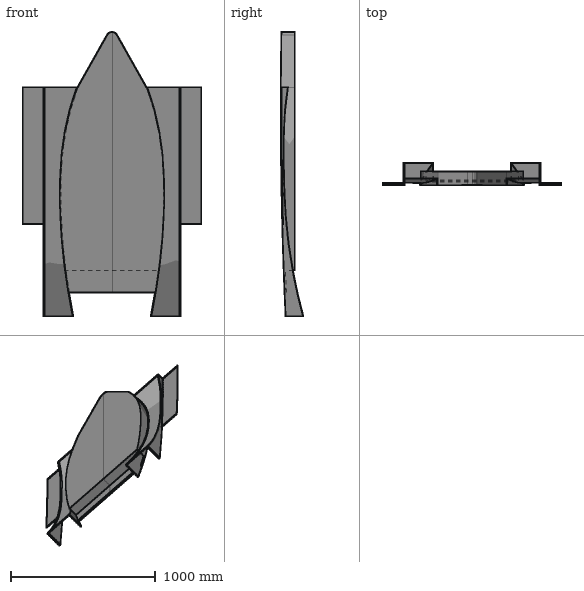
import math

import cadquery as cq

length = 1961.0
total_depth = 157.0
beam = 1232.0
half_beam = beam / 2
sheet = 5.1

deck_y = 98.0
bottom_thickness = 12.0
bottom_end_z = 163.0
transom_z = 318.0
shoulder_z = 1580.0
shoulder_half_width = 237.0
bow_radius = 40.0

crown_z = 1432.0
stern_rise = 33.0

fin_outer_x = 475.0
fin_thickness = 10.0
wing_stern_z = 635.0
wing_setback = 2.0

side_points = [
    (267.0, 0),
    (296.0, bottom_end_z),
    (341.0, 518.0),
    (355.0, 863.0),
    (335.0, 1187.0),
    (302.0, 1365.0),
    (shoulder_half_width, shoulder_z),
]

roof_points = [
    (total_depth, 0),
    (85.0, transom_z),
    (43.0, 608.0),
    (22.0, 1138.0),
    (30.0, 1402.0),
    (51.0, shoulder_z),
]


def bottom_y(z):
    """Rise of the planing bottom at height z."""
    return stern_rise * ((z - crown_z) / crown_z) ** 2


def behind_bottom(offset=0):
    """Everything from the planing bottom, moved by offset, back to the full depth."""
    middle_z = length / 2
    return (
        cq.Workplane("YZ")
        .moveTo(bottom_y(0) + offset, 0)
        .threePointArc(
            (bottom_y(middle_z) + offset, middle_z),
            (bottom_y(length) + offset, length),
        )
        .lineTo(total_depth, length)
        .lineTo(total_depth, 0)
        .close()
        .extrude(half_beam)
    )


def ahead_of_roof(offset=0):
    """Everything from the deck-side roof face, moved by offset, forward to Y = 0."""
    face = [(y + offset, z) for y, z in roof_points]
    return (
        cq.Workplane("YZ")
        .moveTo(*face[0])
        .spline(face[1:], includeCurrent=True)
        .lineTo(0, shoulder_z)
        .lineTo(0, 0)
        .close()
        .extrude(half_beam)
    )


def inside_side(offset=0):
    """Full-depth block from the centre plane to the hull side moved outwards by offset."""
    side = [(x + offset, z) for x, z in side_points]
    outline = (
        cq.Workplane("XZ")
        .moveTo(0, 0)
        .lineTo(*side[0])
        .spline(side[1:], includeCurrent=True)
        .lineTo(0, shoulder_z)
        .close()
    )
    return outline.extrude(-total_depth)


def bow():
    """Full-depth block of the straight bow, tangent to its rounded tip."""
    centre_z = length - bow_radius
    run = shoulder_z - centre_z
    reach = math.hypot(shoulder_half_width, run)
    tangent_angle = math.atan2(run, shoulder_half_width) + math.acos(bow_radius / reach)
    middle_angle = (tangent_angle + math.pi / 2) / 2

    def tip_point(angle):
        return (bow_radius * math.cos(angle), centre_z + bow_radius * math.sin(angle))

    outline = (
        cq.Workplane("XZ")
        .moveTo(0, shoulder_z)
        .lineTo(shoulder_half_width, shoulder_z)
        .lineTo(*tip_point(tangent_angle))
        .threePointArc(tip_point(middle_angle), (0, length))
        .close()
    )
    return outline.extrude(-total_depth)


def block(x_range, y_range, z_range):
    """Box spanning the given ranges."""
    sizes = [end - start for start, end in (x_range, y_range, z_range)]
    corner = (x_range[0], y_range[0], z_range[0])
    return cq.Workplane("XY").box(*sizes, centered=False).translate(corner)


fin_section = ahead_of_roof().intersect(behind_bottom())

footprint = inside_side().union(bow())
hull = footprint.intersect(behind_bottom())
hull = hull.intersect(block((0, half_beam), (0, deck_y), (bottom_end_z, length)))
aft_space = block((0, half_beam), (0, deck_y), (0, transom_z))
hull = hull.cut(behind_bottom(bottom_thickness).intersect(aft_space))

inner_wall = fin_section.intersect(inside_side(sheet).cut(inside_side()))
roof = ahead_of_roof().cut(ahead_of_roof(-sheet)).cut(inside_side())
roof = roof.intersect(block((0, fin_outer_x), (0, total_depth), (0, shoulder_z)))
fin_inner_x = fin_outer_x - fin_thickness
fin = fin_section.cut(roof)
fin = fin.intersect(block((fin_inner_x, fin_outer_x), (0, total_depth), (0, shoulder_z)))

wing = behind_bottom(wing_setback).cut(behind_bottom(wing_setback + sheet)).intersect(
    block((fin_inner_x, half_beam), (0, total_depth), (wing_stern_z, shoulder_z))
)

starboard = hull.union(inner_wall).union(wing).union(roof)
starboard = starboard.union(fin, clean=False)
result = starboard.union(starboard.mirror("YZ"), clean=False)